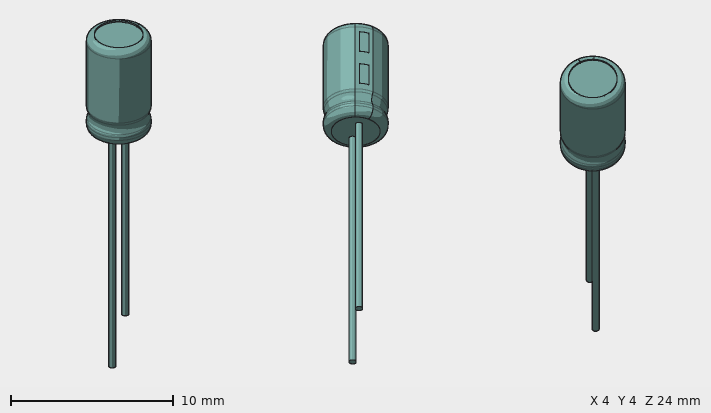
import cadquery as cq
import math

BODY_RADIUS = 2.0
BODY_HEIGHT = 7.0
EDGE_RADIUS = 0.5

CAN_RADIUS = BODY_RADIUS - EDGE_RADIUS
CAN_RECESS = 0.1

GROOVE_CENTER_Z = 1.24
GROOVE_HALF_HEIGHT = 0.54
GROOVE_ARC_HALF_HEIGHT = 0.35
GROOVE_DEPTH = 0.14

STRIPE_ANGLE = 33.0
STRIPE_DIRECTION = 90.0
SLEEVE_DIRECTION = STRIPE_DIRECTION + 180.0

MARK_ANGLE = 17.0
MARK_HEIGHT = 1.48
MARK_DEPTH = 0.1
MARK_PITCH = 2.43
MARK_MIDDLE_Z = 4.18

LEAD_RADIUS = 0.225
LEAD_PITCH = 1.5
LONG_LEAD = 17.0
SHORT_LEAD = 14.0


def revolve_sector(profile, angle, direction):
    """Revolve an XZ profile about Z through an angle whose middle points in the given direction."""
    swept = profile.revolve(angle, (0, 0, 0), (0, 1, 0))
    return swept.rotate((0, 0, 0), (0, 0, 1), direction - angle / 2)


def wall_profile():
    """Section of the sleeve wall, with rounded ends and the crimped groove."""
    edge_center_r = BODY_RADIUS - EDGE_RADIUS
    edge_center_z = BODY_HEIGHT - EDGE_RADIUS
    diagonal = EDGE_RADIUS * math.sqrt(0.5)
    chord_slope = GROOVE_DEPTH / GROOVE_HALF_HEIGHT
    arc_end_r = BODY_RADIUS - (GROOVE_HALF_HEIGHT - GROOVE_ARC_HALF_HEIGHT) * chord_slope
    return (
        cq.Workplane("XZ")
        .moveTo(CAN_RADIUS, 0)
        .threePointArc((edge_center_r + diagonal, EDGE_RADIUS - diagonal), (BODY_RADIUS, EDGE_RADIUS))
        .lineTo(BODY_RADIUS, GROOVE_CENTER_Z - GROOVE_HALF_HEIGHT)
        .tangentArcPoint((arc_end_r, GROOVE_CENTER_Z - GROOVE_ARC_HALF_HEIGHT), relative=False)
        .threePointArc(
            (BODY_RADIUS - GROOVE_DEPTH, GROOVE_CENTER_Z),
            (arc_end_r, GROOVE_CENTER_Z + GROOVE_ARC_HALF_HEIGHT),
        )
        .tangentArcPoint((BODY_RADIUS, GROOVE_CENTER_Z + GROOVE_HALF_HEIGHT), relative=False)
        .lineTo(BODY_RADIUS, edge_center_z)
        .threePointArc((edge_center_r + diagonal, edge_center_z + diagonal), (CAN_RADIUS, BODY_HEIGHT))
        .close()
    )


def make_sleeve():
    """Sleeve wall, open where the stripe fills it."""
    return revolve_sector(wall_profile(), 360 - STRIPE_ANGLE, SLEEVE_DIRECTION)


def make_mark(center_z):
    """Curved minus mark, flush with the outside of the stripe."""
    section = (
        cq.Workplane("XZ")
        .moveTo(BODY_RADIUS - MARK_DEPTH / 2, center_z)
        .rect(MARK_DEPTH, MARK_HEIGHT)
    )
    return revolve_sector(section, MARK_ANGLE, STRIPE_DIRECTION)


def make_stripe(marks):
    """Sector of the wall that completes the sleeve, with a recess for each mark."""
    stripe = revolve_sector(wall_profile(), STRIPE_ANGLE, STRIPE_DIRECTION)
    for mark in marks:
        stripe = stripe.cut(mark)
    return stripe.solids()


def make_can():
    """Plain cylinder that fills the sleeve up to just below its rim."""
    return cq.Workplane("XY").circle(CAN_RADIUS).extrude(BODY_HEIGHT - CAN_RECESS)


def make_lead(center_y, length):
    """Straight round lead hanging from the bottom of the can."""
    return cq.Workplane("XY").center(0, center_y).circle(LEAD_RADIUS).extrude(-length)


marks = [make_mark(MARK_MIDDLE_Z + side * MARK_PITCH / 2) for side in (-1, 1)]
leads = [make_lead(side * LEAD_PITCH / 2, length) for side, length in ((-1, LONG_LEAD), (1, SHORT_LEAD))]
sleeve = make_sleeve()
stripe = make_stripe(marks)
can = make_can()

bodies = [sleeve, stripe, can, *marks, *leads]
result = cq.Compound.makeCompound([body.val() for body in bodies])